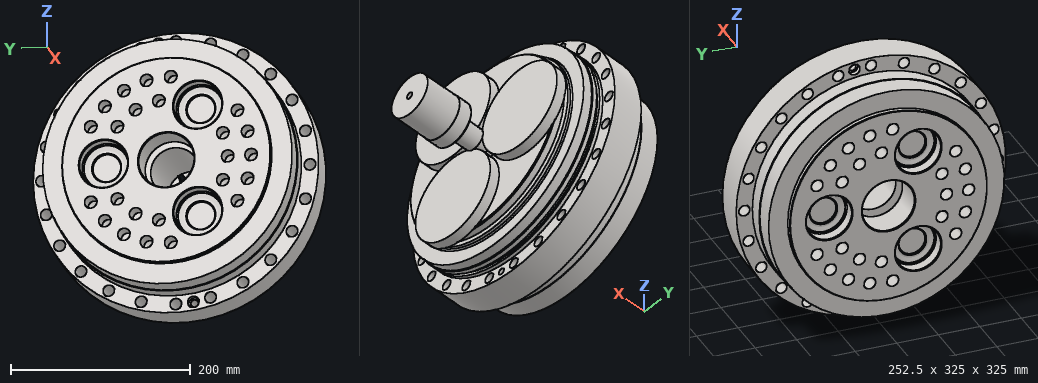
import cadquery as cq
import math


CARRIER_RADIUS = 119.0
CARRIER_CHAMFER = 0.5
HOUSING_FRONT = 6.2
HOUSING_RADIUS = 142.0
PILOT_FRONT = 31.5
PILOT_RADIUS = 143.0
FLANGE_FRONT = 51.0
FLANGE_BACK = 91.5
FLANGE_RADIUS = 162.5
SEAL_GROOVE_FRONT = 96.5
SEAL_GROOVE_BACK = 101.0
SEAL_GROOVE_RADIUS = 139.5
PILOT_BACK = 108.0
PILOT_CHAMFER = 1.0
HOUSING_BACK = 120.2
COVER_RADIUS = 124.5
COVER_LIP_RADIUS = 122.5
COVER_TAPER_BACK = 122.0
COVER_BACK = 125.8
CARRIER_GROOVE_RADIUS = 110.5
REAR_CARRIER_FRONT = 128.0
REAR_CARRIER_BACK = 137.8
REAR_CHAMFER = 1.3

FLANGE_HOLE_COUNT = 24
FLANGE_HOLE_DIAMETER = 13.0
FLANGE_HOLE_CIRCLE = 152.8
FLANGE_HOLE_STEP = 360 / FLANGE_HOLE_COUNT
PIN_HOLE_DIAMETER = 8.5
PIN_COUNTERBORE_DIAMETER = 13.0
PIN_COUNTERBORE_DEPTH = 6.5
PIN_ANGLES = [90 - FLANGE_HOLE_STEP / 2, 270 - FLANGE_HOLE_STEP / 2]

FAN_ANGLES = [60, 180, 300]
FLAT_HOLE_FAN = 300
BOLT_DIAMETER = 14.0
BOLT_DEPTH = 19.5
DRILL_POINT_ANGLE = 118
OUTER_BOLT_CIRCLE = 96.5
OUTER_BOLT_OFFSETS = [-33, -16.5, 0, 16.5, 33]
INNER_BOLT_CIRCLE = 70.0
INNER_BOLT_OFFSETS = [-23, 0, 23]

CRANK_ANGLES = [0, 120, 240]
CRANK_CIRCLE = 71.5
CRANK_BORE_DIAMETER = 55.0
CRANK_BORE_DEPTH = 14.3
CRANK_BORE_CHAMFER = 1.0
BEARING_MOUTH_DIAMETER = 51.0
BEARING_MOUTH_DEPTH = 1.3
BEARING_THROAT_DIAMETER = 39.5
BEARING_TAPER_DEPTH = 1.3
CRANK_RECESS_DIAMETER = 32.0
CRANK_RECESS_DEPTH = 2.0
CRANK_RECESS_CHAMFER = 1.0
GEAR_RADIUS = 60.0
GEAR_FRONT = REAR_CARRIER_BACK
GEAR_BACK = 151.5

BORE_DIAMETER = 63.0
BORE_DEPTH = 35.8
INNER_CAVITY_RADIUS = 45.5
INNER_CAVITY_BACK = 45.5
REAR_BORE_DIAMETER = 55.0
BORE_CHAMFER = 1.0

SHAFT_TIP_RADIUS = 7.5
SHAFT_NECK_RADIUS = 11.7
SHAFT_TIP_X = 136.5
SHAFT_TAPER_LENGTH = 1.3
SHAFT_SHOULDER = 152.8
SHAFT_RADIUS = 14.3
COUPLING_FRONT = 184.3
COUPLING_FLANGE_BACK = 203.5
COUPLING_FLANGE_RADIUS = 29.5
COUPLING_FLANGE_CHAMFER = 1.5
COUPLING_RADIUS = 29.2
COUPLING_BACK = 252.5
SHAFT_HOLE_DIAMETER = 8.5
SCREW_HOLE_DIAMETER = 5.2
SCREW_HOLE_X = 227.5


def turned(outline):
    """Solid of revolution about X from (x, radius) points; it closes along the axis."""
    points = [(outline[0][0], 0)] + outline + [(outline[-1][0], 0)]
    return cq.Workplane("XY").polyline(points).close().revolve(360, (0, 0, 0), (1, 0, 0))


def at_polar(solid, radius, angle):
    """Move a solid off the X axis, with the angle measured from +Y toward +Z."""
    y = radius * math.cos(math.radians(angle))
    z = radius * math.sin(math.radians(angle))
    return solid.translate((0, y, z))


def cylinder(x_start, x_end, diameter):
    return turned([(x_start, diameter / 2), (x_end, diameter / 2)])


def make_body():
    return turned([
        (0, CARRIER_RADIUS - CARRIER_CHAMFER),
        (CARRIER_CHAMFER, CARRIER_RADIUS),
        (HOUSING_FRONT, CARRIER_RADIUS),
        (HOUSING_FRONT, HOUSING_RADIUS),
        (PILOT_FRONT, HOUSING_RADIUS),
        (PILOT_FRONT, PILOT_RADIUS),
        (FLANGE_FRONT, PILOT_RADIUS),
        (FLANGE_FRONT, FLANGE_RADIUS),
        (FLANGE_BACK, FLANGE_RADIUS),
        (FLANGE_BACK, PILOT_RADIUS),
        (SEAL_GROOVE_FRONT, PILOT_RADIUS),
        (SEAL_GROOVE_FRONT, SEAL_GROOVE_RADIUS),
        (SEAL_GROOVE_BACK, SEAL_GROOVE_RADIUS),
        (SEAL_GROOVE_BACK, PILOT_RADIUS),
        (PILOT_BACK - PILOT_CHAMFER, PILOT_RADIUS),
        (PILOT_BACK, HOUSING_RADIUS),
        (HOUSING_BACK, HOUSING_RADIUS),
        (HOUSING_BACK, COVER_RADIUS),
        (COVER_TAPER_BACK, COVER_LIP_RADIUS),
        (COVER_BACK, COVER_LIP_RADIUS),
        (COVER_BACK, CARRIER_GROOVE_RADIUS),
        (REAR_CARRIER_FRONT, CARRIER_GROOVE_RADIUS),
        (REAR_CARRIER_FRONT, CARRIER_RADIUS),
        (REAR_CARRIER_BACK - REAR_CHAMFER, CARRIER_RADIUS),
        (REAR_CARRIER_BACK, CARRIER_RADIUS - REAR_CHAMFER),
    ])


def cut_flange_holes(body):
    hole = cylinder(FLANGE_FRONT, FLANGE_BACK, FLANGE_HOLE_DIAMETER)
    for i in range(FLANGE_HOLE_COUNT):
        body = body.cut(at_polar(hole, FLANGE_HOLE_CIRCLE, i * FLANGE_HOLE_STEP))
    pin_hole = cylinder(FLANGE_FRONT, FLANGE_BACK, PIN_HOLE_DIAMETER)
    counterbore_floor = FLANGE_FRONT + PIN_COUNTERBORE_DEPTH
    pin_hole = pin_hole.union(cylinder(FLANGE_FRONT, counterbore_floor, PIN_COUNTERBORE_DIAMETER))
    for angle in PIN_ANGLES:
        body = body.cut(at_polar(pin_hole, FLANGE_HOLE_CIRCLE, angle))
    return body


def cut_bolt_holes(body):
    """Drilled holes with pointed ends, except two flat-bottomed ones mid-fan."""
    flat_hole = cylinder(0, BOLT_DEPTH, BOLT_DIAMETER)
    point_length = BOLT_DIAMETER / 2 / math.tan(math.radians(DRILL_POINT_ANGLE / 2))
    drill_point = cq.Solid.makeCone(
        BOLT_DIAMETER / 2, 0, point_length, cq.Vector(BOLT_DEPTH, 0, 0), cq.Vector(1, 0, 0)
    )
    drilled_hole = flat_hole.union(cq.Workplane(drill_point))
    rows = [(OUTER_BOLT_CIRCLE, OUTER_BOLT_OFFSETS), (INNER_BOLT_CIRCLE, INNER_BOLT_OFFSETS)]
    for fan in FAN_ANGLES:
        for circle, offsets in rows:
            for offset in offsets:
                flat = fan == FLAT_HOLE_FAN and offset == 0
                hole = flat_hole if flat else drilled_hole
                body = body.cut(at_polar(hole, circle, fan + offset))
    return body


def cut_central_bore(body):
    """Through bore with a wide cavity between the carrier plate and the rear bore."""
    return body.cut(turned([
        (0, BORE_DIAMETER / 2 + BORE_CHAMFER),
        (BORE_CHAMFER, BORE_DIAMETER / 2),
        (BORE_DEPTH, BORE_DIAMETER / 2),
        (BORE_DEPTH, INNER_CAVITY_RADIUS),
        (INNER_CAVITY_BACK, INNER_CAVITY_RADIUS),
        (INNER_CAVITY_BACK, REAR_BORE_DIAMETER / 2),
        (REAR_CARRIER_BACK, REAR_BORE_DIAMETER / 2),
    ]))


def cut_crank_bores(body):
    """Stepped bores ending in a tapered bearing ring around a shallow recess."""
    mouth_end = CRANK_BORE_DEPTH + BEARING_MOUTH_DEPTH
    taper_end = mouth_end + BEARING_TAPER_DEPTH
    bore = turned([
        (0, CRANK_BORE_DIAMETER / 2 + CRANK_BORE_CHAMFER),
        (CRANK_BORE_CHAMFER, CRANK_BORE_DIAMETER / 2),
        (CRANK_BORE_DEPTH, CRANK_BORE_DIAMETER / 2),
        (CRANK_BORE_DEPTH, BEARING_MOUTH_DIAMETER / 2),
        (mouth_end, BEARING_MOUTH_DIAMETER / 2),
        (taper_end, BEARING_THROAT_DIAMETER / 2),
        (taper_end, CRANK_RECESS_DIAMETER / 2 + CRANK_RECESS_CHAMFER),
        (taper_end + CRANK_RECESS_CHAMFER, CRANK_RECESS_DIAMETER / 2),
        (taper_end + CRANK_RECESS_DEPTH, CRANK_RECESS_DIAMETER / 2),
    ])
    for angle in CRANK_ANGLES:
        body = body.cut(at_polar(bore, CRANK_CIRCLE, angle))
    return body


def add_gear_discs(body):
    gear = cylinder(GEAR_FRONT, GEAR_BACK, 2 * GEAR_RADIUS)
    for angle in CRANK_ANGLES:
        body = body.union(at_polar(gear, CRANK_CIRCLE, angle))
    return body


def make_input_shaft():
    """Shaft with coupling; its neck bites slightly into the three gear discs."""
    return turned([
        (SHAFT_TIP_X, SHAFT_TIP_RADIUS),
        (SHAFT_TIP_X + SHAFT_TAPER_LENGTH, SHAFT_NECK_RADIUS),
        (SHAFT_SHOULDER, SHAFT_NECK_RADIUS),
        (SHAFT_SHOULDER, SHAFT_RADIUS),
        (COUPLING_FRONT, SHAFT_RADIUS),
        (COUPLING_FRONT, COUPLING_FLANGE_RADIUS - COUPLING_FLANGE_CHAMFER),
        (COUPLING_FRONT + COUPLING_FLANGE_CHAMFER, COUPLING_FLANGE_RADIUS),
        (COUPLING_FLANGE_BACK, COUPLING_FLANGE_RADIUS),
        (COUPLING_FLANGE_BACK, COUPLING_RADIUS),
        (COUPLING_BACK, COUPLING_RADIUS),
    ])


def cut_shaft_holes(body):
    """Axial hole through the shaft and a radial screw hole meeting it from -Y."""
    body = body.cut(cylinder(SHAFT_TIP_X, COUPLING_BACK, SHAFT_HOLE_DIAMETER))
    screw_hole = cq.Workplane("XZ").center(SCREW_HOLE_X, 0).circle(SCREW_HOLE_DIAMETER / 2)
    return body.cut(screw_hole.extrude(COUPLING_FLANGE_RADIUS))


result = make_body()
result = cut_flange_holes(result)
result = cut_bolt_holes(result)
result = cut_central_bore(result)
result = cut_crank_bores(result)
result = add_gear_discs(result)
result = result.union(make_input_shaft())
result = cut_shaft_holes(result)